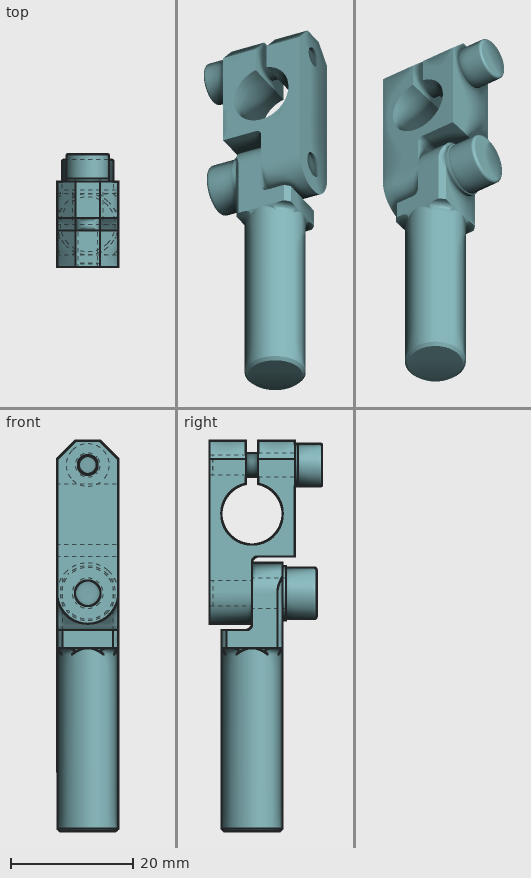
import cadquery as cq

total_height = 64.0
body_width = 10.0
half_width = body_width / 2
corner_radius = 1.0

clamp_depth = 14.0
clamp_front = -clamp_depth / 2
clamp_back = clamp_depth / 2
clamp_floor = 45.0
top_chamfer = 3.0
cross_bore_diameter = 10.0
cross_bore_height = 52.0
slot_width = 2.0

clamp_screw_height = 60.0
pivot_height = 39.0

rod_radius = half_width
rod_foot_chamfer = 0.5
collar_base = 30.0
collar_floor = 33.0
corner_turning_diameter = 13.0
tongue_top = pivot_height + half_width
neck_blend = 1.0
neck_blend_inset = 0.7

clamp_screw_diameter = 4.0
clamp_screw_length = 14.0
clamp_thread_diameter = 3.25
clamp_head_diameter = 7.0
clamp_head_height = 4.0
clamp_washer_diameter = 7.0
clamp_washer_thickness = 0.5
clamp_tip_chamfer = 0.15

pivot_screw_diameter = 5.0
pivot_screw_length = 12.0
pivot_thread_diameter = 4.2
pivot_head_diameter = 8.5
pivot_head_height = 5.0
pivot_washer_diameter = 9.0
pivot_washer_thickness = 0.6

head_rounding_ratio = 0.1


def y_cylinder(diameter, y_start, y_end, height):
    """Round bar along Y, centred on X = 0 at the given Z height."""
    plane = cq.Plane(origin=(0, y_start, height), xDir=(1, 0, 0), normal=(0, 1, 0))
    return cq.Workplane(plane).circle(diameter / 2).extrude(y_end - y_start)


def x_prism(profile):
    """Extrude a (Y, Z) workplane outline across the full body width."""
    return profile.extrude(half_width, both=True)


def make_clamp():
    outline = (
        cq.Workplane("XZ", origin=(0, clamp_front, 0))
        .moveTo(-half_width, pivot_height)
        .threePointArc((0, pivot_height - half_width), (half_width, pivot_height))
        .lineTo(half_width, total_height - top_chamfer)
        .lineTo(half_width - top_chamfer, total_height)
        .lineTo(-half_width + top_chamfer, total_height)
        .lineTo(-half_width, total_height - top_chamfer)
        .close()
        .extrude(-clamp_depth)
    )

    lug_bottom = pivot_height - half_width
    side = x_prism(
        cq.Workplane("YZ")
        .moveTo(clamp_front, lug_bottom)
        .lineTo(0, lug_bottom)
        .lineTo(0, clamp_floor - corner_radius)
        .radiusArc((corner_radius, clamp_floor), corner_radius)
        .lineTo(clamp_back, clamp_floor)
        .lineTo(clamp_back, total_height)
        .lineTo(clamp_front, total_height)
        .close()
    )
    body = outline.intersect(side)

    bore = x_prism(cq.Workplane("YZ").center(0, cross_bore_height).circle(cross_bore_diameter / 2))
    slot_height = total_height - cross_bore_height
    slot = x_prism(
        cq.Workplane("YZ").center(0, cross_bore_height + slot_height / 2).rect(slot_width, slot_height)
    )
    body = body.cut(bore).cut(slot)

    clearance = y_cylinder(clamp_screw_diameter, 0, clamp_back, clamp_screw_height)
    clamp_thread = y_cylinder(clamp_thread_diameter, clamp_front, 0, clamp_screw_height)
    pivot_thread = y_cylinder(pivot_thread_diameter, clamp_front, 0, pivot_height)
    return body.cut(clearance).cut(clamp_thread).cut(pivot_thread)


def make_neck_blend():
    """Concave flare under the collar corners, running out at the middle of each flat."""
    blend_base = collar_base - neck_blend
    flare_radius = rod_radius + neck_blend
    flare = (
        cq.Workplane("XZ")
        .moveTo(0, blend_base)
        .lineTo(rod_radius, blend_base)
        .radiusArc((flare_radius, collar_base), neck_blend)
        .lineTo(0, collar_base)
        .close()
        .revolve(360, (0, 0, 0), (0, 1, 0))
    )
    base_width = body_width - 2 * neck_blend_inset
    limit = (
        cq.Workplane("XY", origin=(0, 0, blend_base))
        .rect(base_width, base_width)
        .workplane(offset=neck_blend)
        .rect(body_width, body_width)
        .loft(ruled=True)
    )
    return flare.intersect(limit)


def make_pivot_rod():
    shaft = cq.Workplane("XY").circle(rod_radius).extrude(collar_base)
    shaft = shaft.faces("<Z").chamfer(rod_foot_chamfer)

    head = x_prism(
        cq.Workplane("YZ")
        .moveTo(-half_width, collar_base)
        .lineTo(half_width, collar_base)
        .lineTo(half_width, tongue_top)
        .lineTo(0, tongue_top)
        .lineTo(0, collar_floor + corner_radius)
        .radiusArc((-corner_radius, collar_floor), corner_radius)
        .lineTo(-half_width, collar_floor)
        .close()
    )

    end_shape = (
        cq.Workplane("XZ", origin=(0, -half_width, 0))
        .moveTo(-half_width, collar_base)
        .lineTo(half_width, collar_base)
        .lineTo(half_width, pivot_height)
        .threePointArc((0, tongue_top), (-half_width, pivot_height))
        .close()
        .extrude(-body_width)
    )
    turning = (
        cq.Workplane("XY", origin=(0, 0, collar_base))
        .circle(corner_turning_diameter / 2)
        .extrude(tongue_top - collar_base)
    )
    head = head.intersect(end_shape).intersect(turning)

    pivot_hole = y_cylinder(pivot_screw_diameter, 0, half_width, pivot_height)
    return shaft.union(make_neck_blend()).union(head).cut(pivot_hole)


def make_washer(diameter, bore, thickness, seat, height):
    ring = y_cylinder(diameter, seat, seat + thickness, height)
    return ring.cut(y_cylinder(bore, seat, seat + thickness, height))


def make_screw(shank, thread, length, head_diameter, head_height, seat, step, height, tip_chamfer=0):
    """Cap screw along Y: head behind `seat`, shank down to `step`, thread on to the tip."""
    head = y_cylinder(head_diameter, seat, seat + head_height, height)
    head = head.faces(">Y").edges().fillet(shank * head_rounding_ratio)
    threaded_end = y_cylinder(thread, seat - length, step, height)
    if tip_chamfer:
        threaded_end = threaded_end.faces("<Y").chamfer(tip_chamfer)
    return head.union(y_cylinder(shank, step, seat, height)).union(threaded_end)


clamp = make_clamp()
pivot_rod = make_pivot_rod()

clamp_washer = make_washer(
    clamp_washer_diameter,
    clamp_screw_diameter,
    clamp_washer_thickness,
    seat=clamp_back,
    height=clamp_screw_height,
)
pivot_washer = make_washer(
    pivot_washer_diameter,
    pivot_screw_diameter,
    pivot_washer_thickness,
    seat=half_width,
    height=pivot_height,
)

clamp_screw = make_screw(
    clamp_screw_diameter,
    clamp_thread_diameter,
    clamp_screw_length,
    clamp_head_diameter,
    clamp_head_height,
    seat=clamp_back + clamp_washer_thickness,
    step=-slot_width / 2,
    height=clamp_screw_height,
    tip_chamfer=clamp_tip_chamfer,
)
pivot_screw = make_screw(
    pivot_screw_diameter,
    pivot_thread_diameter,
    pivot_screw_length,
    pivot_head_diameter,
    pivot_head_height,
    seat=half_width + pivot_washer_thickness,
    step=0,
    height=pivot_height,
)

bodies = [clamp, pivot_rod, clamp_washer, pivot_washer, clamp_screw, pivot_screw]
result = cq.Compound.makeCompound([body.solids().val() for body in bodies])